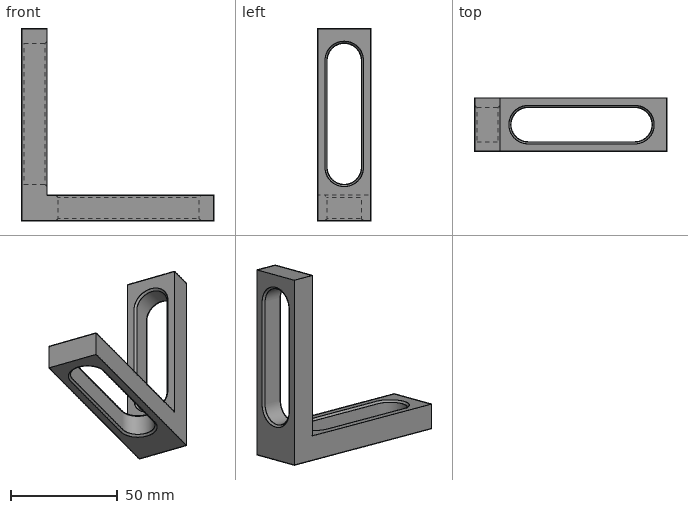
import cadquery as cq

leg_length = 90.0
width = 25.0
thickness = 12.0
slot_width = 16.0
slot_arc_spacing = 50.0
slot_center = 50.0
chamfer = 1.0
selection_margin = 0.1

slot_length = slot_arc_spacing + slot_width


def make_body():
    """L-shaped bracket with its outer corner along the Y axis."""
    outline = [
        (0, 0),
        (leg_length, 0),
        (leg_length, thickness),
        (thickness, thickness),
        (thickness, leg_length),
        (0, leg_length),
    ]
    return cq.Workplane("XZ").polyline(outline).close().extrude(width / 2, both=True)


def make_slot(plane, center, angle):
    """Round-ended cutter passing through one leg."""
    return (
        cq.Workplane(plane)
        .center(*center)
        .slot2D(slot_length, slot_width, angle)
        .extrude(thickness)
    )


def chamfer_slot_mouth(part, x_range, z_range):
    """Chamfer the slot edges lying inside the given X and Z ranges."""
    half_width = slot_width / 2 + selection_margin
    lower = (x_range[0], -half_width, z_range[0])
    upper = (x_range[1], half_width, z_range[1])
    mouth = cq.selectors.BoxSelector(lower, upper, boundingbox=True)
    return part.edges(mouth).chamfer(chamfer)


horizontal_slot = make_slot("XY", (slot_center, 0), 0)
vertical_slot = make_slot("YZ", (0, slot_center), 90)
result = make_body().cut(horizontal_slot).cut(vertical_slot)

half_span = slot_length / 2 + selection_margin
slot_range = (slot_center - half_span, slot_center + half_span)
for face_level in (0, thickness):
    face_range = (face_level - selection_margin, face_level + selection_margin)
    result = chamfer_slot_mouth(result, slot_range, face_range)
    result = chamfer_slot_mouth(result, face_range, slot_range)